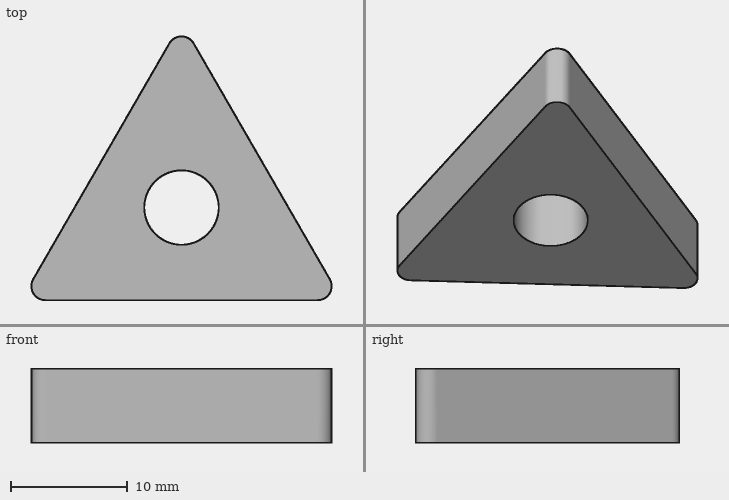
import cadquery as cq
import math

overall_width = 25.75
thickness = 6.35
hole_diameter = 6.35
corner_radius = 1.2

centre_spacing = overall_width - 2 * corner_radius
centre_distance = centre_spacing / math.sqrt(3)

sharp_corner_distance = centre_distance + 2 * corner_radius
corner_angles = (90, 210, 330)
sharp_corners = [
    (
        sharp_corner_distance * math.cos(math.radians(angle)),
        sharp_corner_distance * math.sin(math.radians(angle)),
    )
    for angle in corner_angles
]

body = cq.Workplane("XY").polyline(sharp_corners).close().extrude(thickness)
body = body.edges("|Z").fillet(corner_radius)

result = body.faces(">Z").workplane(origin=(0, 0, thickness)).hole(hole_diameter)